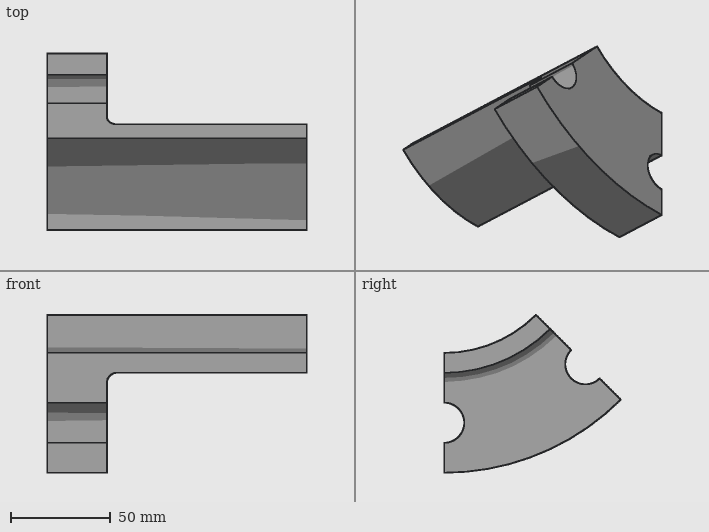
import cadquery as cq
import math

length = 130.0
flange_thickness = 30.0
bore_radius = 65.0
sleeve_radius = 75.0
flange_radius = 125.0
bolt_circle_radius = 100.0
bolt_hole_radius = 10.0
root_fillet = 5.0
segment_angle = 45.0


def polar_point(radius, angle):
    """Point (y, z) at an angle in degrees, measured from -Z towards +Y."""
    turn = math.radians(angle)
    return (radius * math.sin(turn), -radius * math.cos(turn))


def ring_segment(outer_radius, thickness):
    """Sector of a ring between the bore and an outer radius, starting at X = 0."""
    middle = segment_angle / 2
    return (
        cq.Workplane("YZ")
        .moveTo(*polar_point(bore_radius, 0))
        .lineTo(*polar_point(outer_radius, 0))
        .threePointArc(polar_point(outer_radius, middle), polar_point(outer_radius, segment_angle))
        .lineTo(*polar_point(bore_radius, segment_angle))
        .threePointArc(polar_point(bore_radius, middle), polar_point(bore_radius, 0))
        .close()
        .extrude(thickness)
    )


body = ring_segment(flange_radius, flange_thickness).union(ring_segment(sleeve_radius, length))

root_y, root_z = polar_point(sleeve_radius, segment_angle / 2)
root_edge = cq.selectors.NearestToPointSelector((flange_thickness, root_y, root_z))
body = body.faces("<X[-2]").edges(root_edge).fillet(root_fillet)

bolt_holes = (
    cq.Workplane("YZ")
    .pushPoints([polar_point(bolt_circle_radius, angle) for angle in (0, segment_angle)])
    .circle(bolt_hole_radius)
    .extrude(flange_thickness)
)

result = body.cut(bolt_holes)